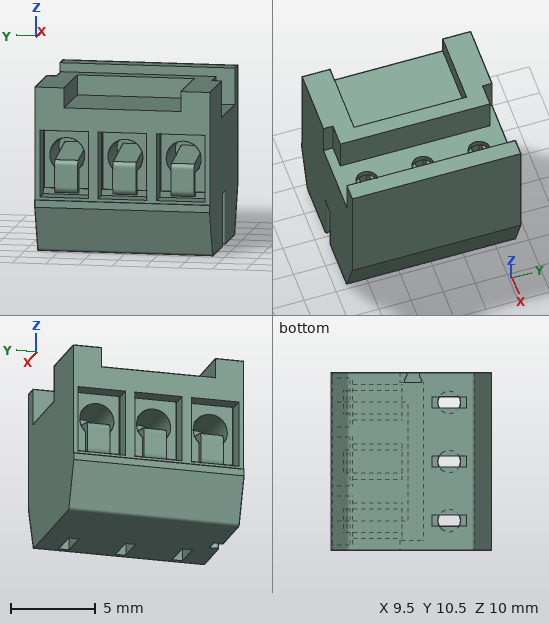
import cadquery as cq
import math

length = 9.5
width = 10.5
height = 10.0
pole_pitch = 3.5
pole_centers = [-pole_pitch, 0.0, pole_pitch]

lip_depth = 0.09
lip_top = 3.22
taper_height = 2.79
taper_inset = 1.05
base_edge_radius = 0.21

back_wall = 1.02
channel_depth = 2.19
channel_floor = height - channel_depth
channel_end = length - back_wall
shoulder_end = 4.1
tongue_end = 5.48
tongue_side_inset = 0.59

tray_end = 4.57
tray_width = 7.01
tray_depth = 1.2

window_width = 2.91
window_bottom = 3.4
window_top = 7.41
window_back = 1.27

clamp_width = 2.75
clamp_bottom = 3.79
clamp_front = 1.13
wire_hole_diameter = 2.1
wire_hole_z = 5.79
wire_hole_end = 4.2

contact_width = 1.39
contact_front = 0.74
contact_bottom = 3.56
contact_front_top = 5.52
contact_back_top = 6.07
contact_nose_radius = 0.38
contact_nose_rise = 0.34

screw_x = 6.99
screw_hole_diameter = 1.32
screw_hole_depth = 0.36
pin_slot_width = 0.64
pin_slot_length = 2.06

groove_x = 4.86
groove_mouth = 0.59
groove_depth = 0.57
groove_angle = 26.0
groove_top = 3.2
groove_mouth_radius = 0.12
groove_root_radius = 0.08

overlap = 0.1


def box(x_range, y_range, z_range):
    """Box spanning the given (low, high) range on each axis."""
    ranges = (x_range, y_range, z_range)
    sizes = [high - low for low, high in ranges]
    corner = tuple(low for low, high in ranges)
    return cq.Workplane("XY").box(*sizes, centered=False).translate(corner)


def span(center, size):
    """Range of the given size about a center."""
    return (center - size / 2, center + size / 2)


def make_housing():
    outline = [
        (taper_inset, 0),
        (length - taper_inset, 0),
        (length, taper_height),
        (length, height),
        (lip_depth, height),
        (lip_depth, lip_top),
        (0, lip_top),
        (0, taper_height),
    ]
    body = cq.Workplane("XZ").polyline(outline).close().extrude(width / 2, both=True)
    return body.faces("<Z").edges("|Y").fillet(base_edge_radius)


def make_channel():
    z_range = (channel_floor, height + overlap)
    full_width = width + 2 * overlap
    channel = box((shoulder_end, channel_end), span(0, full_width), z_range)
    tongue = box((shoulder_end, tongue_end), span(0, width - 2 * tongue_side_inset), z_range)
    return channel.cut(tongue)


def make_tray():
    return box((-overlap, tray_end), span(0, tray_width), (height - tray_depth, height + overlap))


def make_window(y):
    """Entry window, less the clamp plate that stands out from its back wall."""
    window = box((-overlap, window_back), span(y, window_width), (window_bottom, window_top))
    clamp = box((clamp_front, window_back), span(y, clamp_width), (clamp_bottom, window_top))
    return window.cut(clamp)


def make_wire_hole(y):
    hole = cq.Workplane("YZ", origin=(clamp_front, y, wire_hole_z)).circle(wire_hole_diameter / 2)
    return hole.extrude(wire_hole_end - clamp_front)


def nose_setback(rise):
    """Distance the nose arc falls back from its foremost point over a given rise."""
    return contact_nose_radius - math.sqrt(contact_nose_radius**2 - rise**2)


def make_contact(y):
    """Contact tongue with two rounded nose edges and a top that climbs towards the back."""
    contact_end = wire_hole_end + overlap
    nose_end_x = contact_front + nose_setback(contact_nose_rise)
    nose_mid_rise = contact_nose_rise / 2
    nose_mid_x = contact_front + nose_setback(nose_mid_rise)
    flat_bottom = contact_bottom + contact_nose_rise
    flat_top = contact_front_top - contact_nose_rise
    contact = (
        cq.Workplane("XZ", origin=(0, y, 0))
        .moveTo(nose_end_x, contact_bottom)
        .threePointArc((nose_mid_x, flat_bottom - nose_mid_rise), (contact_front, flat_bottom))
        .lineTo(contact_front, flat_top)
        .threePointArc((nose_mid_x, flat_top + nose_mid_rise), (nose_end_x, contact_front_top))
        .lineTo(contact_end, contact_back_top)
        .lineTo(contact_end, contact_bottom)
        .close()
    )
    return contact.extrude(contact_width / 2, both=True)


def make_screw_opening(y):
    """Shallow round recess with a narrow slot running on through the base."""
    recess_floor = channel_floor - screw_hole_depth
    recess = cq.Workplane("XY", origin=(screw_x, y, recess_floor)).circle(screw_hole_diameter / 2)
    recess = recess.extrude(screw_hole_depth + overlap)
    slot = box(span(screw_x, pin_slot_length), span(y, pin_slot_width), (-overlap, recess_floor))
    return recess.union(slot)


def make_groove():
    half_mouth = groove_mouth / 2
    half_root = half_mouth + groove_depth * math.tan(math.radians(groove_angle))
    outline = [
        (-half_mouth, 0),
        (half_mouth, 0),
        (half_root, groove_depth),
        (-half_root, groove_depth),
    ]
    groove = cq.Workplane("XY", origin=(groove_x, -width / 2, -overlap)).polyline(outline).close()
    groove = groove.extrude(groove_top + overlap)
    return groove.faces(">Y").edges("|Z").fillet(groove_root_radius)


def select_groove_mouth():
    """Selector for the upright edges where the groove opens into the -Y side."""
    side_y = -width / 2
    low = (groove_x - groove_mouth, side_y - overlap, -overlap)
    high = (groove_x + groove_mouth, side_y + overlap, groove_top + overlap)
    return cq.selectors.BoxSelector(low, high)


result = make_housing().cut(make_groove())
result = result.edges("|Z").edges(select_groove_mouth()).fillet(groove_mouth_radius)
result = result.cut(make_channel()).cut(make_tray())
for pole_y in pole_centers:
    result = result.cut(make_window(pole_y)).cut(make_wire_hole(pole_y))
    result = result.union(make_contact(pole_y)).cut(make_screw_opening(pole_y))